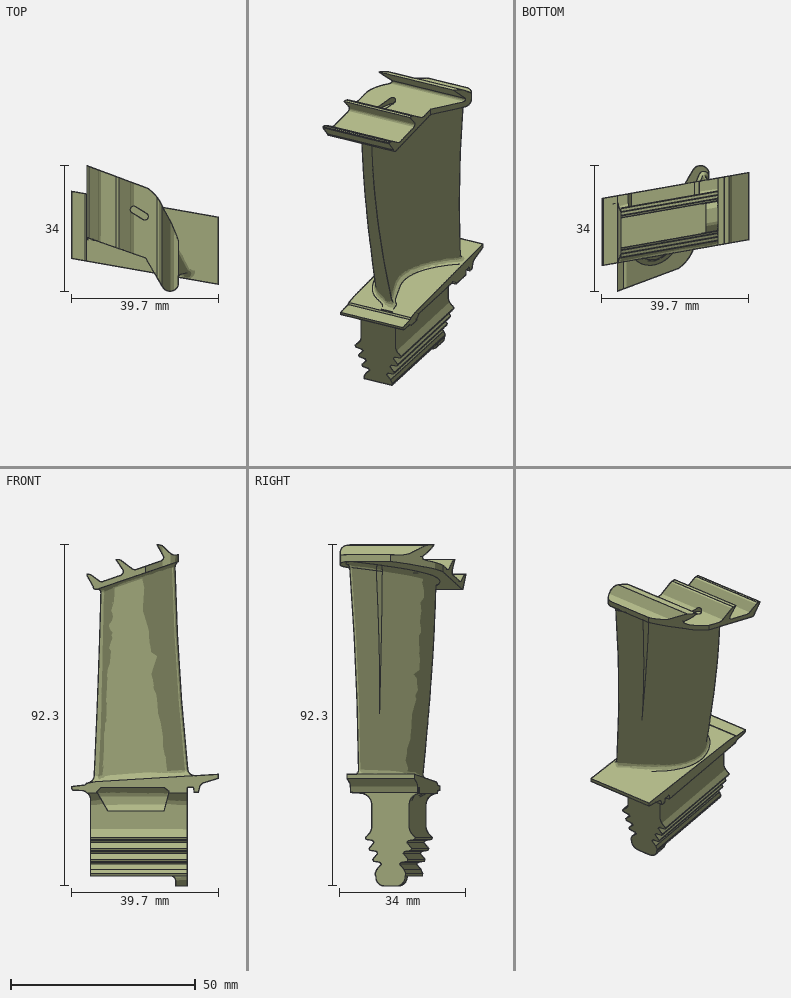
import cadquery as cq
import math


SKEW_ANGLE = 10.0
SKEW = math.tan(math.radians(SKEW_ANGLE))
ROOT_LENGTH = 26.2
WIDE = 40.0

NECK_HALF = 5.05
NECK_FOOT_Z = 13.3
LOBE_COUNT = 3
LOBE_TIP_HALF = 6.75
LOBE_TIP_Z = 10.15
LOBE_PITCH = 2.95
LOBE_STEP_IN = 0.99
LOBE_LAND = 0.55
NOTCH_DEPTH = 2.3
NOTCH_DROP = 1.05
FOOT_HALF = 4.15
FOOT_LAND = 0.67
FOOT_SHOULDER_Z = 1.8
PLATFORM_UNDER_Z = 22.4
FLARE_RADIUS = 3.2
FRONT_FLARE_REACH = 2.2
FRONT_FLARE_Z = 20.4

TANG_FRONT_X = 23.0
TANG_DEPTH = 2.72
TANG_HALF = 3.95
TANG_SIDE_RADIUS = 2.4
TANG_FILLET = 1.25

PLATFORM_FRONT_X = -5.1
PLATFORM_LENGTH = 39.66
PLATFORM_REAR_X = PLATFORM_FRONT_X + PLATFORM_LENGTH
PLATFORM_WIDTH = 18.2
PLATFORM_OFFSET = -1.16
PLATFORM_TOP_REAR_Z = 27.55
CREASE_X = 1.3
CREASE_Z = 25.52

POCKET_DEPTH = 1.0
POCKET_BOTTOM_Z = 17.6
POCKET_TOP_Z = 24.0
POCKET_BOTTOM_RISE = 1.7
POCKET_CEILING_RADIUS = 2.5

HUB_Z, MID_Z, TIP_Z = 27.0, 52.0, 78.0
LEADING_X = (1.75, 2.8, 3.6)
LEADING_Y = (-2.4, 2.15, 4.3)
BEND_X = (14.6, 13.0, 12.0)
BEND_Y = (9.2, 11.3, 12.9)
TRAILING_X = (26.1, 23.9, 22.6)
TRAILING_Y = (-12.8, -13.4, -14.8)
HALF_THICKNESS = (1.9, 1.1, 0.7)
LEADING_RADIUS = 0.8
TRAILING_RADIUS = 0.45
SECTION_COUNT = 4
PLANE_PASSES = 3
CHORD_STEPS = 8

COLLAR_STEPS = 4
HUB_COLLAR_WIDTH = 2.0
HUB_COLLAR_HEIGHT = 1.7
HUB_COLLAR_Z = 25.18
HUB_COLLAR_SLOPE = 0.07
TIP_COLLAR_SIZE = 1.4
TIP_COLLAR_Z = 77.0

SHROUD_SLOPE = 0.3423
SHROUD_TOP_Z = 89.6
FRONT_FIN_Z = 81.65
MIDDLE_FIN_Z = 85.65
FIN_TIP_DROP = 0.2
SHROUD_FRONT_X = -0.97
SHROUD_REAR_X = 23.8
SHROUD_MIN_Y = -18.22
SHROUD_MAX_Y = 15.78
SLOT_START = (11.7, 3.85)
SLOT_END = (14.7, 2.0)
SLOT_WIDTH = 1.9
SLOT_FLOOR_Z = 82.0


def skew_prism(profile, start_x, end_x):
    """Extrude a YZ profile, drawn for X = 0, along the skewed root direction."""
    length = end_x - start_x
    wire = profile.wire().val().translate(cq.Vector(start_x, -SKEW * start_x, 0))
    return cq.Workplane(cq.Solid.extrudeLinear(wire, [], cq.Vector(length, -SKEW * length, 0)))


def cross_prism(profile):
    """Extrude an XZ profile across the full width of the blade."""
    return profile.extrude(WIDE, both=True)


def at_height(values, z):
    """Parabola through the values given at the hub, middle and tip heights."""
    hub, mid, tip = values
    hub_part = hub * (z - MID_Z) * (z - TIP_Z) / ((HUB_Z - MID_Z) * (HUB_Z - TIP_Z))
    mid_part = mid * (z - HUB_Z) * (z - TIP_Z) / ((MID_Z - HUB_Z) * (MID_Z - TIP_Z))
    tip_part = tip * (z - HUB_Z) * (z - MID_Z) / ((TIP_Z - HUB_Z) * (TIP_Z - MID_Z))
    return hub_part + mid_part + tip_part


def root_half_points():
    """Fir-tree edge on the +Y side, from the first lobe down to the root's underside."""
    points = []
    for index in range(LOBE_COUNT):
        tip_y = LOBE_TIP_HALF - index * LOBE_STEP_IN
        tip_z = LOBE_TIP_Z - index * LOBE_PITCH
        notch_y = tip_y - NOTCH_DEPTH
        notch_z = tip_z - NOTCH_DROP
        points.append((tip_y, tip_z + LOBE_LAND / 2))
        points.append((tip_y - 0.2, tip_z - LOBE_LAND / 2))
        points.append((notch_y + 0.4, notch_z + 0.5))
        points.append((notch_y, notch_z))
    points.append((FOOT_HALF - 0.45, FOOT_SHOULDER_Z))
    points.append((FOOT_HALF, FOOT_LAND))
    points.append((FOOT_HALF - 0.1, 0))
    return points


def make_root():
    lobes = root_half_points()
    mirrored = [(-y, z) for y, z in reversed(lobes)]
    bend_y, bend_z = NECK_HALF + 0.6, NECK_FOOT_Z - 1.7
    mid_y, mid_z = NECK_HALF + 0.14, NECK_FOOT_Z - 0.75
    flare_y = NECK_HALF + FLARE_RADIUS
    flare_z = PLATFORM_UNDER_Z - FLARE_RADIUS
    arc_y = flare_y - FLARE_RADIUS * math.sqrt(0.5)
    arc_z = flare_z + FLARE_RADIUS * math.sqrt(0.5)
    top_z = PLATFORM_UNDER_Z + 1.0
    profile = (
        cq.Workplane("YZ")
        .moveTo(flare_y, PLATFORM_UNDER_Z)
        .threePointArc((arc_y, arc_z), (NECK_HALF, flare_z))
        .lineTo(NECK_HALF, NECK_FOOT_Z)
        .threePointArc((mid_y, mid_z), (bend_y, bend_z))
    )
    for point in lobes + mirrored + [(-bend_y, bend_z)]:
        profile = profile.lineTo(*point)
    profile = (
        profile.threePointArc((-mid_y, mid_z), (-NECK_HALF, NECK_FOOT_Z))
        .lineTo(-NECK_HALF, flare_z)
        .threePointArc((-arc_y, arc_z), (-flare_y, PLATFORM_UNDER_Z))
        .lineTo(-flare_y, top_z)
        .lineTo(flare_y, top_z)
        .close()
    )
    rise = PLATFORM_UNDER_Z + 0.7 - FRONT_FLARE_Z
    reach = FRONT_FLARE_REACH
    side = (
        cq.Workplane("XZ")
        .moveTo(0, 0)
        .lineTo(0, FRONT_FLARE_Z)
        .threePointArc((-0.27 * reach, FRONT_FLARE_Z + 0.68 * rise), (-reach, FRONT_FLARE_Z + rise))
        .lineTo(-reach, top_z)
        .lineTo(ROOT_LENGTH, top_z)
        .lineTo(ROOT_LENGTH, 0)
        .close()
    )
    return skew_prism(profile, -reach, ROOT_LENGTH).intersect(cross_prism(side))


def make_tang():
    overlap = 0.5
    straight = TANG_DEPTH - TANG_SIDE_RADIUS
    corner_y = TANG_HALF - TANG_SIDE_RADIUS
    bulge = TANG_SIDE_RADIUS * math.sqrt(0.5)
    profile = (
        cq.Workplane("YZ")
        .moveTo(TANG_HALF, overlap)
        .lineTo(TANG_HALF, -straight)
        .threePointArc((corner_y + bulge, -straight - bulge), (corner_y, -TANG_DEPTH))
        .lineTo(-corner_y, -TANG_DEPTH)
        .threePointArc((-corner_y - bulge, -straight - bulge), (-TANG_HALF, -straight))
        .lineTo(-TANG_HALF, overlap)
        .close()
    )
    start_x = TANG_FRONT_X - TANG_FILLET
    inset = TANG_FILLET * (1 - math.sqrt(0.5))
    side = (
        cq.Workplane("XZ")
        .moveTo(start_x, overlap)
        .lineTo(start_x, 0)
        .threePointArc((TANG_FRONT_X - inset, -inset), (TANG_FRONT_X, -TANG_FILLET))
        .lineTo(TANG_FRONT_X, -TANG_DEPTH)
        .lineTo(ROOT_LENGTH, -TANG_DEPTH)
        .lineTo(ROOT_LENGTH, overlap)
        .close()
    )
    return skew_prism(profile, start_x, ROOT_LENGTH).intersect(cross_prism(side))


def platform_band():
    """Tall skewed prism with the platform's plan outline."""
    profile = cq.Workplane("YZ").center(PLATFORM_OFFSET, 0).rect(PLATFORM_WIDTH, 2 * WIDE)
    return skew_prism(profile, PLATFORM_FRONT_X, PLATFORM_REAR_X)


def make_platform():
    side = (
        cq.Workplane("XZ")
        .moveTo(PLATFORM_FRONT_X, 24.25)
        .lineTo(-1.5, 24.65)
        .lineTo(-1.05, 25.05)
        .lineTo(CREASE_X, CREASE_Z)
        .lineTo(PLATFORM_REAR_X, PLATFORM_TOP_REAR_Z)
        .lineTo(PLATFORM_REAR_X, 26.4)
        .lineTo(30.5, 25.15)
        .threePointArc((29.8, 24.6), (29.5, 23.8))
        .lineTo(29.2, 22.6)
        .lineTo(28.0, 22.6)
        .lineTo(27.9, 23.6)
        .threePointArc((27.8, 23.9), (27.5, 24.0))
        .lineTo(26.6, 24.0)
        .threePointArc((26.3, 23.9), (ROOT_LENGTH, 23.6))
        .lineTo(ROOT_LENGTH, PLATFORM_UNDER_Z)
        .lineTo(-0.9, PLATFORM_UNDER_Z)
        .threePointArc((-1.5, 22.9), (-2.2, 23.1))
        .lineTo(-4.7, 23.2)
        .lineTo(PLATFORM_FRONT_X, 23.6)
        .close()
    )
    return platform_band().intersect(cross_prism(side))


def make_neck_pocket():
    outline = (
        cq.Workplane("XZ")
        .moveTo(4.7, POCKET_BOTTOM_Z)
        .lineTo(19.9, POCKET_BOTTOM_Z)
        .lineTo(21.3, 22.9)
        .lineTo(19.9, POCKET_TOP_Z)
        .lineTo(2.9, POCKET_TOP_Z)
        .lineTo(1.7, 22.8)
        .close()
    )
    floor_y = -NECK_HALF + POCKET_DEPTH
    ceiling_z = POCKET_TOP_Z - POCKET_CEILING_RADIUS
    inset = POCKET_CEILING_RADIUS * (1 - math.sqrt(0.5))
    depth_profile = (
        cq.Workplane("YZ")
        .moveTo(-WIDE, POCKET_BOTTOM_Z)
        .lineTo(-NECK_HALF, POCKET_BOTTOM_Z)
        .threePointArc(
            (-NECK_HALF + 0.71 * POCKET_DEPTH, POCKET_BOTTOM_Z + 0.5 * POCKET_BOTTOM_RISE),
            (floor_y, POCKET_BOTTOM_Z + POCKET_BOTTOM_RISE),
        )
        .lineTo(floor_y, ceiling_z)
        .threePointArc((floor_y - inset, POCKET_TOP_Z - inset),
                       (floor_y - POCKET_CEILING_RADIUS, POCKET_TOP_Z))
        .lineTo(-WIDE, POCKET_TOP_Z)
        .close()
    )
    return skew_prism(depth_profile, 0, ROOT_LENGTH).intersect(cross_prism(outline))


def camber_frame(z, s):
    """Point on the curved mean line at fraction s of its run, and its unit direction."""
    start = (at_height(LEADING_X, z), at_height(LEADING_Y, z))
    bend = (at_height(BEND_X, z), at_height(BEND_Y, z))
    end = (at_height(TRAILING_X, z), at_height(TRAILING_Y, z))
    point = [
        (1 - s) ** 2 * a + 2 * s * (1 - s) * b + s ** 2 * c
        for a, b, c in zip(start, bend, end)
    ]
    run = [2 * (1 - s) * (b - a) + 2 * s * (c - b) for a, b, c in zip(start, bend, end)]
    length = math.hypot(*run)
    direction = (run[0] / length, run[1] / length)
    return point, direction


def half_thickness(z, s):
    """Edge radii tapering along the chord plus a bulge that peaks at one third of it."""
    taper = LEADING_RADIUS * (1 - s) + TRAILING_RADIUS * s
    return taper + at_height(HALF_THICKNESS, z) * 6.75 * s * (1 - s) ** 2


def airfoil_section(base_z, slope, growth=0.0):
    """Closed section in the plane z = base_z + slope * x, thickened all round by growth."""

    def onto_plane(x, y):
        return cq.Vector(x, y, base_z + slope * x)

    def frame_on_plane(s):
        z = base_z
        for _ in range(PLANE_PASSES):
            point, run = camber_frame(z, s)
            z = base_z + slope * point[0]
        return point, run, z

    suction = []
    pressure = []
    for step in range(CHORD_STEPS + 1):
        s = step / CHORD_STEPS
        (x, y), (run_x, run_y), z = frame_on_plane(s)
        offset = half_thickness(z, s) + growth
        suction.append(onto_plane(x - run_y * offset, y + run_x * offset))
        pressure.append(onto_plane(x + run_y * offset, y - run_x * offset))
    (nose_x, nose_y), nose_run, _ = frame_on_plane(0)
    (tail_x, tail_y), tail_run, _ = frame_on_plane(1)
    nose_radius = LEADING_RADIUS + growth
    tail_radius = TRAILING_RADIUS + growth
    nose_tip = onto_plane(nose_x - nose_run[0] * nose_radius, nose_y - nose_run[1] * nose_radius)
    tail_tip = onto_plane(tail_x + tail_run[0] * tail_radius, tail_y + tail_run[1] * tail_radius)
    nose_tangent = cq.Vector(*nose_run, slope * nose_run[0])
    tail_tangent = cq.Vector(*tail_run, slope * tail_run[0])
    return cq.Wire.assembleEdges([
        cq.Edge.makeSpline(suction, tangents=[nose_tangent, tail_tangent]),
        cq.Edge.makeThreePointArc(suction[-1], tail_tip, pressure[-1]),
        cq.Edge.makeSpline(pressure[::-1], tangents=[-tail_tangent, -nose_tangent]),
        cq.Edge.makeThreePointArc(pressure[0], nose_tip, suction[0]),
    ])


def make_airfoil():
    hub_z = HUB_COLLAR_Z + HUB_COLLAR_HEIGHT
    tip_z = TIP_COLLAR_Z - TIP_COLLAR_SIZE
    sections = []
    for index in range(SECTION_COUNT):
        fraction = index / (SECTION_COUNT - 1)
        base_z = hub_z + fraction * (tip_z - hub_z)
        slope = HUB_COLLAR_SLOPE + fraction * (SHROUD_SLOPE - HUB_COLLAR_SLOPE)
        sections.append(airfoil_section(base_z, slope))
    return cq.Workplane(cq.Solid.makeLoft(sections))


def make_collar(base_z, slope, width, height):
    """Concave collar round the airfoil, spreading out onto the plane z = base_z + slope * x.

    A positive height stands on the plane and a negative height hangs below it.
    """
    sections = []
    for index in range(COLLAR_STEPS + 1):
        angle = math.pi / 2 * index / COLLAR_STEPS
        growth = width * (1 - math.cos(angle))
        distance = height * (1 - math.sin(angle))
        sections.append(airfoil_section(base_z + distance, slope, growth))
    return cq.Workplane(cq.Solid.makeLoft(sections))


def make_hub_collar():
    collar = make_collar(HUB_COLLAR_Z, HUB_COLLAR_SLOPE, HUB_COLLAR_WIDTH, HUB_COLLAR_HEIGHT)
    return collar.intersect(platform_band())


def make_tip_collar():
    collar = make_collar(TIP_COLLAR_Z, SHROUD_SLOPE, TIP_COLLAR_SIZE, -TIP_COLLAR_SIZE)
    return collar.intersect(shroud_plan())


def make_shroud():
    side = (
        cq.Workplane("XZ")
        .moveTo(SHROUD_FRONT_X, FRONT_FIN_Z)
        .lineTo(-0.38, FRONT_FIN_Z)
        .lineTo(0.2, FRONT_FIN_Z - FIN_TIP_DROP)
        .lineTo(2.1, 80.05)
        .threePointArc((2.75, 79.65), (3.5, 79.75))
        .lineTo(7.7, 81.2)
        .threePointArc((8.75, 81.9), (8.75, 82.8))
        .lineTo(6.86, MIDDLE_FIN_Z)
        .lineTo(7.68, MIDDLE_FIN_Z)
        .lineTo(8.2, MIDDLE_FIN_Z - FIN_TIP_DROP)
        .lineTo(10.9, 83.4)
        .threePointArc((11.6, 82.95), (12.6, 83.0))
        .lineTo(18.9, 85.2)
        .threePointArc((19.65, 85.75), (19.75, 86.4))
        .lineTo(18.0, SHROUD_TOP_Z)
        .lineTo(18.6, SHROUD_TOP_Z)
        .lineTo(19.35, SHROUD_TOP_Z - FIN_TIP_DROP)
        .lineTo(21.7, 87.2)
        .threePointArc((22.6, 86.85), (SHROUD_REAR_X + 0.1, 87.05))
        .lineTo(SHROUD_REAR_X + 0.1, 85.1)
        .lineTo(1.6, 77.5)
        .threePointArc((1.1, 77.6), (0.7, 78.3))
        .lineTo(SHROUD_FRONT_X, 81.3)
        .close()
    )
    return cross_prism(side).intersect(shroud_plan())


def shroud_plan():
    """Upright prism with the shroud's plan outline."""
    return (
        cq.Workplane("XY")
        .moveTo(SHROUD_FRONT_X, SHROUD_MAX_Y)
        .lineTo(15.6, 9.6)
        .threePointArc((17.8, 7.5), (19.6, 4.4))
        .lineTo(21.9, 0.2)
        .lineTo(23.4, -3.4)
        .lineTo(SHROUD_REAR_X, -4.6)
        .lineTo(SHROUD_REAR_X, -16.4)
        .threePointArc((21.7, SHROUD_MIN_Y), (19.4, -16.9))
        .lineTo(17.8, -14.2)
        .lineTo(14.9, -9.2)
        .lineTo(SHROUD_FRONT_X, -3.67)
        .close()
        .extrude(SHROUD_TOP_Z + 1)
    )


def make_shroud_slot():
    run_x = SLOT_END[0] - SLOT_START[0]
    run_y = SLOT_END[1] - SLOT_START[1]
    return (
        cq.Workplane("XY", origin=(0, 0, SLOT_FLOOR_Z))
        .center((SLOT_START[0] + SLOT_END[0]) / 2, (SLOT_START[1] + SLOT_END[1]) / 2)
        .transformed(rotate=(0, 0, math.degrees(math.atan2(run_y, run_x))))
        .slot2D(math.hypot(run_x, run_y) + SLOT_WIDTH, SLOT_WIDTH)
        .extrude(SHROUD_TOP_Z - SLOT_FLOOR_Z)
    )


foundation = make_root().intersect(platform_band()).union(make_tang()).union(make_platform())
airfoil = make_airfoil().union(make_hub_collar()).union(make_tip_collar())
result = (
    foundation.cut(make_neck_pocket())
    .union(airfoil)
    .union(make_shroud())
    .cut(make_shroud_slot())
)